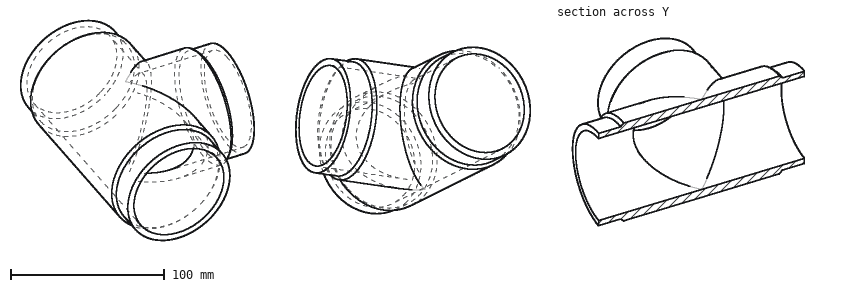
import cadquery as cq

body_diameter = 79.5
spigot_diameter = 75.0
bore_diameter = 66.0
arm_length = 75.0
spigot_length = 16.0

body_radius = body_diameter / 2
spigot_radius = spigot_diameter / 2
bore_radius = bore_diameter / 2
shoulder_length = body_radius - spigot_radius
spigot_start = arm_length - spigot_length
body_end = spigot_start - shoulder_length


def run_solid():
    """Outer solid of the run: a body with a cone and a spigot at both ends."""
    profile = [
        (-arm_length, 0),
        (-arm_length, spigot_radius),
        (-spigot_start, spigot_radius),
        (-body_end, body_radius),
        (body_end, body_radius),
        (spigot_start, spigot_radius),
        (arm_length, spigot_radius),
        (arm_length, 0),
    ]
    return cq.Workplane("XY").polyline(profile).close().revolve(360, (0, 0, 0), (1, 0, 0))


def branch_solid():
    """Outer solid of the branch, from the run axis out to its spigot end."""
    profile = [
        (0, 0),
        (body_radius, 0),
        (body_radius, body_end),
        (spigot_radius, spigot_start),
        (spigot_radius, arm_length),
        (0, arm_length),
    ]
    return cq.Workplane("XY").polyline(profile).close().revolve(360, (0, 0, 0), (0, 1, 0))


def bores():
    """Through bore of the run joined by the branch bore, which stops at the run axis."""
    run_bore = cq.Workplane("YZ").circle(bore_radius).extrude(arm_length, both=True)
    branch_bore = cq.Workplane("XZ").circle(bore_radius).extrude(-arm_length)
    return run_bore.union(branch_bore)


result = run_solid().union(branch_solid()).cut(bores())